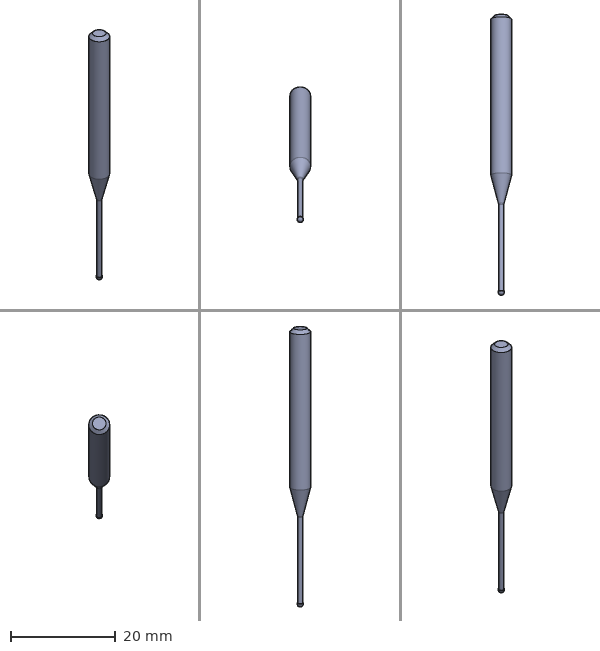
import cadquery as cq

total_length = 55.0
shank_radius = 2.01
shank_chamfer = 0.7

shoulder_height = 23.6
taper_end_height = 18.0
neck_top_height = 17.75

neck_radius = 0.5
taper_end_radius = 0.55
head_radius = 0.6
head_land = 0.15
head_height = head_radius + head_land


def make_holder():
    """Shank with chamfered end, taper and slender neck, turned as one solid."""
    profile = (
        cq.Workplane("YZ")
        .moveTo(0, head_height)
        .lineTo(neck_radius, head_height)
        .lineTo(neck_radius, neck_top_height)
        .lineTo(taper_end_radius, taper_end_height)
        .lineTo(shank_radius, shoulder_height)
        .lineTo(shank_radius, total_length - shank_chamfer)
        .lineTo(shank_radius - shank_chamfer, total_length)
        .lineTo(0, total_length)
        .close()
    )
    return profile.revolve(360, (0, 0, 0), (0, 1, 0))


def make_cutting_head():
    """Hemispherical tip with a short cylindrical land, butted against the neck."""
    diagonal = head_radius * 0.5 ** 0.5
    profile = (
        cq.Workplane("YZ")
        .moveTo(0, 0)
        .threePointArc((diagonal, head_radius - diagonal), (head_radius, head_radius))
        .lineTo(head_radius, head_height)
        .lineTo(0, head_height)
        .close()
    )
    return profile.revolve(360, (0, 0, 0), (0, 1, 0))


holder = make_holder()
cutting_head = make_cutting_head()

result = cq.Compound.makeCompound([holder.val(), cutting_head.val()])